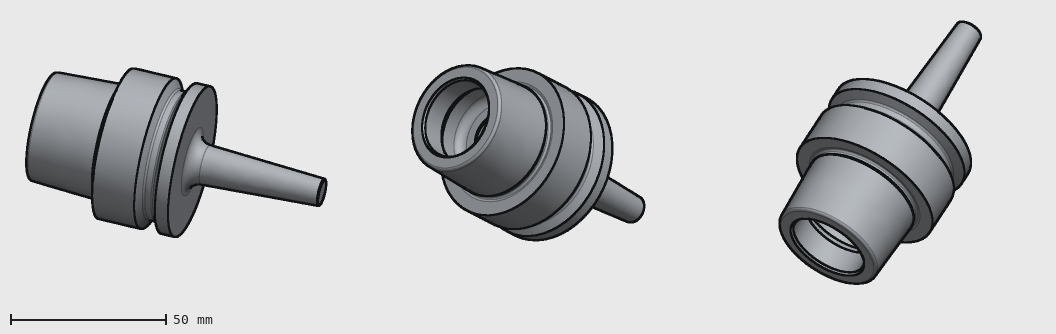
import cadquery as cq
import math

total_length = 94.9

flange_start = 25.0
flange_end = 50.8
flange_diameter = 50.0
flange_radius = flange_diameter / 2

taper_end = 23.0
taper_end_radius = 19.2
taper_slope = 1 / 20
shank_tip_fillet = 0.95

relief_radius = 19.0
relief_floor_start = 23.4
face_relief_depth = 0.2
relief_fillet = 0.7
face_relief_outer_radius = 20.4

groove_centre = 42.8
groove_floor_radius = 21.5
groove_floor_width = 3.0
groove_wall_angle = 60.0
groove_fillet = 0.9

nose_tip_diameter = 9.0
nose_tip_radius = nose_tip_diameter / 2
nose_angle = 3.0
nose_fillet = 4.7
nose_tip_chamfer = 0.3
nose_overlap = 0.95

bore_radius = 13.0
bore_depth = 21.1
clamping_shoulder_start = 9.5
clamping_shoulder_angle = 30.0
clamping_recess_radius = 14.5
bore_floor_fillet = 2.8
mouth_chamfer_height = 0.6
mouth_chamfer_length = 0.95
inner_bore_radius = 8.0
inner_bore_depth = 9.5
inner_bore_chamfer = 0.3
inner_bore_floor_radius = 6.9
inner_bore_floor_length = 1.0


def revolve_about_x(profile):
    return profile.close().revolve(360, (0, 0, 0), (1, 0, 0))


def make_shank():
    relief_end = flange_start + face_relief_depth
    tip_radius = taper_end_radius - taper_end * taper_slope
    shank = revolve_about_x(
        cq.Workplane("XY")
        .lineTo(0, tip_radius)
        .lineTo(taper_end, taper_end_radius)
        .lineTo(relief_floor_start, relief_radius)
        .lineTo(relief_end, relief_radius)
        .lineTo(relief_end, 0)
    )
    return shank.faces("<X").edges().fillet(shank_tip_fillet)


def make_flange():
    flange_length = flange_end - flange_start
    body = cq.Workplane("YZ", origin=(flange_start, 0, 0)).circle(flange_radius).extrude(flange_length)
    return body.cut(make_gripper_groove())


def make_root_ring():
    """Stock at the foot of the shank, from which the face relief cuts its root fillet."""
    ring_length = relief_fillet - face_relief_depth
    ring = cq.Workplane("YZ", origin=(flange_start, 0, 0)).circle(relief_radius + relief_fillet)
    return ring.extrude(-ring_length)


def make_gripper_groove():
    half_floor = groove_floor_width / 2
    groove_depth = flange_radius - groove_floor_radius
    half_mouth = half_floor + groove_depth / math.tan(math.radians(groove_wall_angle))
    ring = revolve_about_x(
        cq.Workplane("XY")
        .moveTo(groove_centre - half_floor, groove_floor_radius)
        .lineTo(groove_centre + half_floor, groove_floor_radius)
        .lineTo(groove_centre + half_mouth, flange_radius)
        .lineTo(groove_centre - half_mouth, flange_radius)
    )
    floor_edges = cq.selectors.RadiusNthSelector(0)
    return ring.edges(floor_edges).fillet(groove_fillet)


def make_face_relief():
    """Shallow ring sunk into the flange face, rounded where it meets the shank."""
    floor_x = flange_start + face_relief_depth
    fillet_start_x = floor_x - relief_fillet
    fillet_top_radius = relief_radius + relief_fillet
    fillet_middle = (
        fillet_start_x + relief_fillet * math.sin(math.pi / 4),
        fillet_top_radius - relief_fillet * math.cos(math.pi / 4),
    )
    return revolve_about_x(
        cq.Workplane("XY")
        .moveTo(fillet_start_x, relief_radius)
        .threePointArc(fillet_middle, (floor_x, fillet_top_radius))
        .lineTo(flange_start, face_relief_outer_radius)
        .lineTo(fillet_start_x, face_relief_outer_radius)
    )


def make_nose():
    slope = math.radians(nose_angle)
    fillet_centre_x = flange_end + nose_fillet
    cone_radius_there = nose_tip_radius + (total_length - fillet_centre_x) * math.tan(slope)
    fillet_centre_radius = cone_radius_there + nose_fillet / math.cos(slope)

    def on_fillet(angle):
        return (
            fillet_centre_x + nose_fillet * math.cos(angle),
            fillet_centre_radius + nose_fillet * math.sin(angle),
        )

    face_angle = -math.pi
    cone_angle = -math.pi / 2 - slope
    nose = revolve_about_x(
        cq.Workplane("XY")
        .moveTo(flange_end - nose_overlap, 0)
        .lineTo(flange_end - nose_overlap, fillet_centre_radius)
        .lineTo(flange_end, fillet_centre_radius)
        .threePointArc(on_fillet((face_angle + cone_angle) / 2), on_fillet(cone_angle))
        .lineTo(total_length, nose_tip_radius)
        .lineTo(total_length, 0)
    )
    return nose.faces(">X").edges().chamfer(nose_tip_chamfer)


def make_main_bore():
    """Bore that widens over a conical shoulder into a clamping recess with a rounded floor."""
    shoulder_height = clamping_recess_radius - bore_radius
    shoulder_length = shoulder_height / math.tan(math.radians(clamping_shoulder_angle))
    bore = revolve_about_x(
        cq.Workplane("XY")
        .lineTo(0, bore_radius + mouth_chamfer_height)
        .lineTo(mouth_chamfer_length, bore_radius)
        .lineTo(clamping_shoulder_start, bore_radius)
        .lineTo(clamping_shoulder_start + shoulder_length, clamping_recess_radius)
        .lineTo(bore_depth, clamping_recess_radius)
        .lineTo(bore_depth, 0)
    )
    return bore.faces(">X").edges().fillet(bore_floor_fillet)


def make_inner_bore():
    inner_floor = bore_depth + inner_bore_depth
    return revolve_about_x(
        cq.Workplane("XY")
        .moveTo(bore_depth, 0)
        .lineTo(bore_depth, inner_bore_radius + inner_bore_chamfer)
        .lineTo(bore_depth + inner_bore_chamfer, inner_bore_radius)
        .lineTo(inner_floor - inner_bore_floor_length, inner_bore_radius)
        .lineTo(inner_floor, inner_bore_floor_radius)
        .lineTo(inner_floor, 0)
    )


holder = make_flange().union(make_root_ring()).union(make_shank()).union(make_nose())
for cavity in (make_face_relief(), make_main_bore(), make_inner_bore()):
    holder = holder.cut(cavity)
result = holder